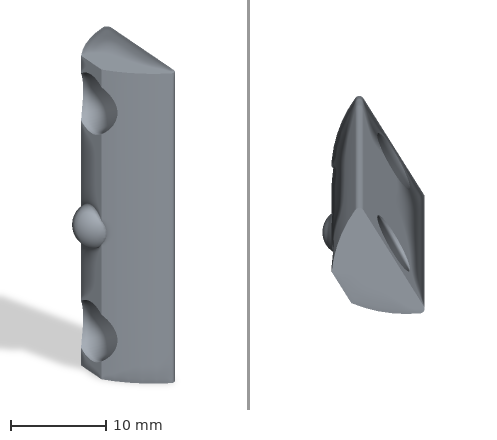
import cadquery as cq
import math

bar_length = 36.0
bar_depth = 6.37
back_width = 14.0
front_width = 4.05
side_bulge = 0.58
corner_radius = 0.5

hole_diameter = 6.75
hole_end_distance = 4.8
hole_heights = (hole_end_distance, bar_length - hole_end_distance)

ball_radius = 2.5
ball_height = 17.03
ball_protrusion = 1.95
ball_center = (0, ball_radius - ball_protrusion - bar_depth, ball_height)


def side_midpoint():
    """Middle of the curved side at +X, pushed outward from its chord."""
    run = (back_width - front_width) / 2
    chord = math.hypot(run, bar_depth)
    x = (back_width + front_width) / 4 + side_bulge * bar_depth / chord
    y = -bar_depth / 2 - side_bulge * run / chord
    return x, y


def make_ball():
    return cq.Workplane("XY").sphere(ball_radius).translate(ball_center)


def make_bar():
    mid_x, mid_y = side_midpoint()
    bar = (
        cq.Workplane("XY")
        .moveTo(-back_width / 2, 0)
        .lineTo(back_width / 2, 0)
        .threePointArc((mid_x, mid_y), (front_width / 2, -bar_depth))
        .lineTo(-front_width / 2, -bar_depth)
        .threePointArc((-mid_x, mid_y), (-back_width / 2, 0))
        .close()
        .extrude(bar_length)
    )

    bar = bar.edges("|Z and >Y").fillet(corner_radius)

    for height in hole_heights:
        hole = (
            cq.Workplane("XZ", origin=(0, 0, height))
            .circle(hole_diameter / 2)
            .extrude(bar_depth)
        )
        bar = bar.cut(hole)

    return bar.cut(make_ball())


bar = make_bar()
ball = make_ball()

result = cq.Compound.makeCompound([bar.val(), ball.val()])